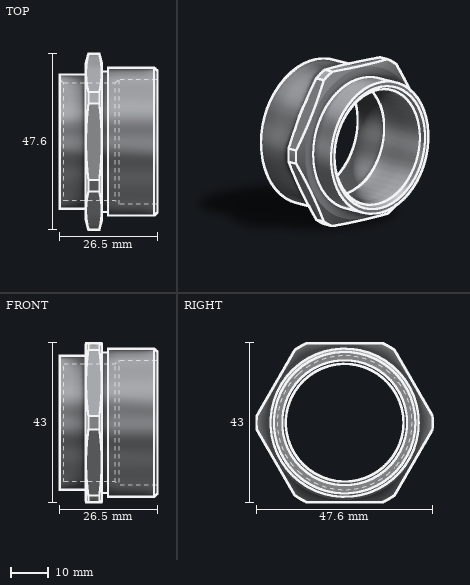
import cadquery as cq
import math

length = 26.5
flange_start = 7.0
flange_end = 11.5
thread_start = 13.0

collar_radius = 18.15
neck_radius = 19.0
thread_radius = 20.0
thread_chamfer_length = 1.0
thread_tip_radius = 19.1

across_flats = 43.0
flange_corner_radius = 23.82
flange_face_radius = 20.95
flange_bevel_angle = 15.0

bore_radius = 15.85
bore_chamfer_length = 1.0
wide_bore_radius = bore_radius + bore_chamfer_length
wide_bore_start = 15.0


def revolve_about_x(points):
    """Turn a closed (x, radius) outline about the X axis."""
    return cq.Workplane("XY").polyline(points).close().revolve(360, (0, 0, 0), (1, 0, 0))


def make_body():
    """Collar, neck under the flange and threaded end with a chamfered tip."""
    return revolve_about_x([
        (0, 0),
        (0, collar_radius),
        (flange_start, collar_radius),
        (flange_start, neck_radius),
        (thread_start, neck_radius),
        (thread_start, thread_radius),
        (length - thread_chamfer_length, thread_radius),
        (length, thread_tip_radius),
        (length, 0),
    ])


def make_flange():
    """Hexagon with corners on +Y and -Y, turned round and bevelled at its corners."""
    across_corners = across_flats / math.cos(math.radians(30))
    hexagon = (
        cq.Workplane("YZ", origin=(flange_start, 0, 0))
        .polygon(6, across_corners)
        .extrude(flange_end - flange_start)
    )
    bevel_depth = flange_corner_radius - flange_face_radius
    bevel_length = bevel_depth * math.tan(math.radians(flange_bevel_angle))
    turned_limit = revolve_about_x([
        (flange_start, 0),
        (flange_start, flange_face_radius),
        (flange_start + bevel_length, flange_corner_radius),
        (flange_end - bevel_length, flange_corner_radius),
        (flange_end, flange_face_radius),
        (flange_end, 0),
    ])
    return hexagon.intersect(turned_limit)


def make_bore():
    """Through bore with a chamfered mouth at the collar end and a wider bore in the threaded end."""
    return revolve_about_x([
        (0, 0),
        (0, wide_bore_radius),
        (bore_chamfer_length, bore_radius),
        (wide_bore_start, bore_radius),
        (wide_bore_start + bore_chamfer_length, wide_bore_radius),
        (length, wide_bore_radius),
        (length, 0),
    ])


result = make_body().union(make_flange()).cut(make_bore())